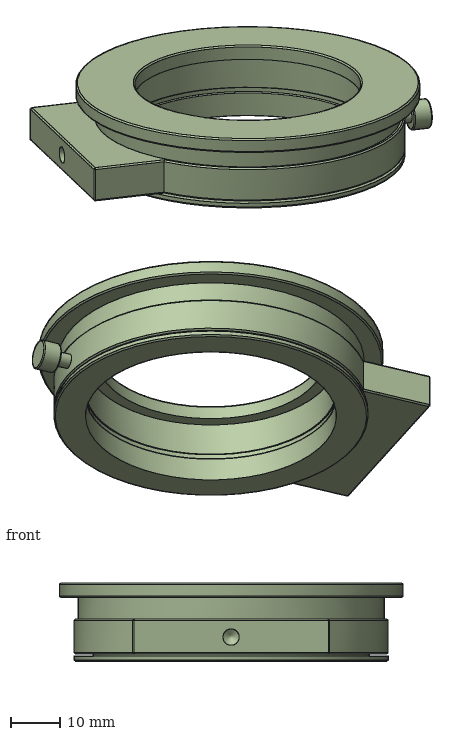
import cadquery as cq

total_height = 16.0
flange_thickness = 3.0
body_bottom = 1.5
body_height = 7.2
body_top = body_bottom + body_height
flange_bottom = total_height - flange_thickness
edge_chamfer = 0.3

flange_diameter = 70.0
flange_radius = flange_diameter / 2
neck_radius = 31.2
body_radius = 32.0
slit_radius = 28.1
flange_bore_radius = 23.0
lower_bore_radius = 25.5

ring_thickness = 1.1

groove_top = 6.1
groove_bottom = 4.9
groove_depth = 0.2

block_width = 40.0
block_reach = 40.0
block_chamfer = 0.2
hole_diameter = 3.3
hole_depth = 10.0
hole_tip_depth = 0.95

screw_end = 38.75
head_diameter = 6.1
head_length = 3.9
head_chamfer = 0.2
shank_diameter = 3.0
shank_embed = 3.9
axis_height = 5.0


def disc(radius, bottom, top):
    return cq.Workplane("XY").workplane(offset=bottom).circle(radius).extrude(top - bottom)


def make_flange():
    return disc(flange_radius, flange_bottom, total_height).edges().chamfer(edge_chamfer)


def make_block():
    block = cq.Workplane("XY").box(block_width, block_reach, body_height, centered=(True, False, False))
    block = block.translate((0, -block_reach, body_bottom))
    return block.faces("<Y").edges("|Z").chamfer(block_chamfer)


def make_body():
    body = disc(body_radius, body_bottom, body_top).union(make_block())
    return body.faces("<Z or >Z").edges().chamfer(edge_chamfer)


def make_ring():
    return disc(body_radius, 0, ring_thickness).faces("<Z").edges().chamfer(edge_chamfer)


def make_bore():
    """Revolved cutter: narrow chamfered bore in the flange, wider grooved bore below."""
    groove_radius = lower_bore_radius + groove_depth
    return (
        cq.Workplane("XZ")
        .lineTo(lower_bore_radius, 0)
        .lineTo(lower_bore_radius, groove_bottom)
        .lineTo(groove_radius, groove_bottom + groove_depth)
        .lineTo(groove_radius, groove_top)
        .lineTo(lower_bore_radius, groove_top)
        .lineTo(lower_bore_radius, flange_bottom)
        .lineTo(flange_bore_radius, flange_bottom)
        .lineTo(flange_bore_radius, total_height - edge_chamfer)
        .lineTo(flange_bore_radius + edge_chamfer, total_height)
        .lineTo(0, total_height)
        .close()
        .revolve(360, (0, 0, 0), (0, 1, 0))
    )


def make_block_hole():
    """Blind drilled hole along +Y with a conical end."""
    tip = -block_reach + hole_depth + hole_tip_depth
    return (
        cq.Workplane("XY")
        .moveTo(0, -block_reach)
        .lineTo(hole_diameter / 2, -block_reach)
        .lineTo(hole_diameter / 2, -block_reach + hole_depth)
        .lineTo(0, tip)
        .close()
        .revolve(360, (0, 0, 0), (0, 1, 0))
        .translate((0, 0, axis_height))
    )


def make_screw():
    plane = cq.Plane(origin=(0, screw_end, axis_height), xDir=(1, 0, 0), normal=(0, -1, 0))
    head = cq.Workplane(plane).circle(head_diameter / 2).extrude(head_length)
    head = head.edges().chamfer(head_chamfer)
    shank_length = screw_end - body_radius + shank_embed
    shank = cq.Workplane(plane).circle(shank_diameter / 2).extrude(shank_length)
    return head.union(shank)


result = (
    make_ring()
    .union(disc(slit_radius, 0, body_bottom + edge_chamfer))
    .union(make_body())
    .union(disc(neck_radius, body_top - edge_chamfer, flange_bottom + edge_chamfer))
    .union(make_flange())
    .union(make_screw())
    .cut(make_bore())
    .cut(make_block_hole())
)